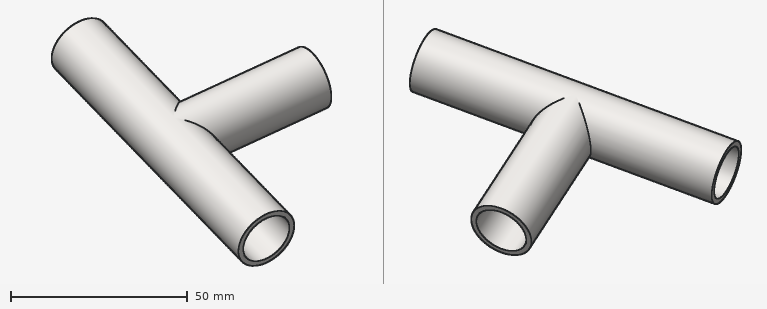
import cadquery as cq

run_length = 95.25
outer_diameter = 19.05
bore_diameter = 15.7
overall_depth = 57.15

branch_length = overall_depth - outer_diameter / 2


def run_cylinder(diameter):
    """Cylinder along X, centred on the origin."""
    return cq.Workplane("YZ").circle(diameter / 2).extrude(run_length / 2, both=True)


def branch_cylinder(diameter):
    """Cylinder from the run's axis along +Y."""
    return cq.Workplane("XZ").circle(diameter / 2).extrude(-branch_length)


def tee(diameter):
    """Run and branch of equal diameter, meeting in a mitred joint."""
    return run_cylinder(diameter).union(branch_cylinder(diameter))


result = tee(outer_diameter).cut(tee(bore_diameter))